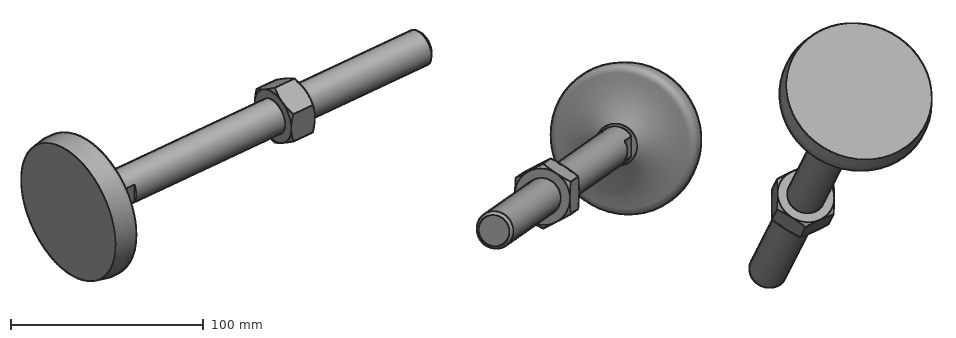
import cadquery as cq
import math

total_length = 238.0

foot_radius = 40.0
base_radius = 38.5
taper_height = 7.1
rim_height = 11.0
rim_round_radius = 4.3
rim_round_angle = math.radians(80)
crown_radius = 11.2
crown_height = 24.5
flare_sag = 2.0

neck_radius = 5.0
rod_radius = 10.0
rod_start = 25.7
rod_tip_chamfer = 1.7
flats_length = 12.0
flats_width = 17.0

nut_start = 137.8
nut_thickness = 16.0
nut_width = 30.0
nut_chamfer_angle = math.radians(30)


def make_cylinder(radius, start, end):
    """Solid cylinder on the Y axis between two Y positions."""
    plane = cq.Plane(origin=(0, start, 0), xDir=(1, 0, 0), normal=(0, 1, 0))
    return cq.Workplane(plane).circle(radius).extrude(end - start)


def make_foot():
    """Tapered rim rounded into a concave flare that rises to the flat crown."""
    round_center = foot_radius - rim_round_radius

    def point_on_round(angle):
        return (
            round_center + rim_round_radius * math.cos(angle),
            rim_height + rim_round_radius * math.sin(angle),
        )

    flare_start = point_on_round(rim_round_angle)
    run = flare_start[0] - crown_radius
    rise = crown_height - flare_start[1]
    chord = math.hypot(run, rise)
    flare_middle = (
        (flare_start[0] + crown_radius) / 2 - flare_sag * rise / chord,
        (flare_start[1] + crown_height) / 2 - flare_sag * run / chord,
    )
    profile = (
        cq.Workplane("XY")
        .lineTo(base_radius, 0)
        .lineTo(foot_radius, taper_height)
        .lineTo(foot_radius, rim_height)
        .threePointArc(point_on_round(rim_round_angle / 2), flare_start)
        .threePointArc(flare_middle, (crown_radius, crown_height))
        .lineTo(0, crown_height)
        .close()
    )
    return profile.revolve(360, (0, 0, 0), (0, 1, 0))


def make_rod():
    """Rod with a chamfered tip and two wrench flats at the foot end."""
    rod = make_cylinder(rod_radius, rod_start, total_length)
    rod = rod.faces(">Y").chamfer(rod_tip_chamfer)
    diameter = 2 * rod_radius
    for side in (-1, 1):
        cutter = cq.Workplane("XY").box(diameter, flats_length, diameter)
        cutter_x = side * (flats_width + diameter) / 2
        rod = rod.cut(cutter.translate((cutter_x, rod_start + flats_length / 2, 0)))
    return rod


def make_nut():
    """Hexagonal prism with conical chamfers on the corners of both faces."""
    corner_radius = nut_width / math.sqrt(3)
    face_radius = nut_width / 2
    chamfer_depth = (corner_radius - face_radius) * math.tan(nut_chamfer_angle)
    nut_end = nut_start + nut_thickness
    plane = cq.Plane(origin=(0, nut_start, 0), xDir=(0, 0, 1), normal=(0, 1, 0))
    hexagon = cq.Workplane(plane).polygon(6, 2 * corner_radius).extrude(nut_thickness)
    envelope = (
        cq.Workplane("XY")
        .moveTo(0, nut_start)
        .lineTo(face_radius, nut_start)
        .lineTo(corner_radius, nut_start + chamfer_depth)
        .lineTo(corner_radius, nut_end - chamfer_depth)
        .lineTo(face_radius, nut_end)
        .lineTo(0, nut_end)
        .close()
        .revolve(360, (0, 0, 0), (0, 1, 0))
    )
    return hexagon.intersect(envelope)


neck = make_cylinder(neck_radius, crown_height, rod_start)
result = make_foot().union(neck).union(make_rod()).union(make_nut())